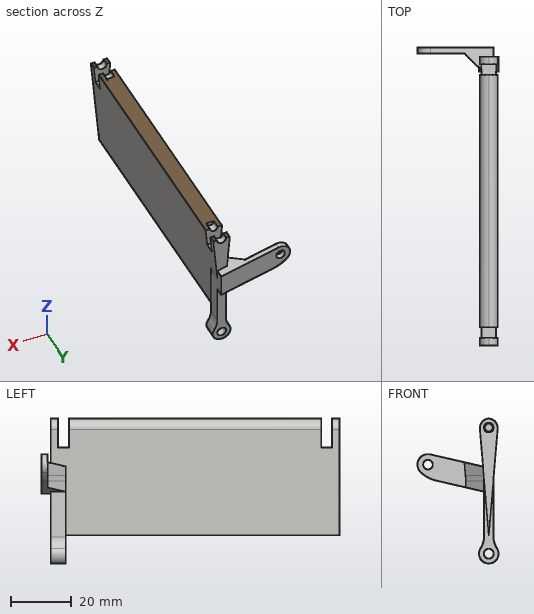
import cadquery as cq
import math


flap_length = 95.0
leading_edge_z = 3.0
nose_half_width = 2.96
nose_tangent_z = -0.55
trailing_edge_z = -35.5

lug_thickness = 2.5
slot_width = 3.5
slot_floor_z = -6.5

lug_hole_radius = 1.6
body_hole_radius = 1.3
body_hole_depth = 3.0

horn_width = 5.0
horn_front_y = flap_length - horn_width
stem_half_width = 1.6
eye_z = -41.5
eye_radius = 3.25
eye_hole_radius = 1.6
eye_fillet_radius = 7.0

arm_thickness = 2.0
arm_overhang = 3.0
arm_back_y = flap_length + arm_overhang
arm_front_y = arm_back_y - arm_thickness
arm_hole_x = -20.0
arm_hole_z = -12.2
arm_hole_radius = 1.55
arm_end_radius = 3.49
arm_slope = math.radians(13.0)
arm_lower_offset = 4.55
arm_blend_radius = 11.0
gusset_run = 6.0
gusset_blend_radius = 20.0


def cylinder(x, z, radius, y_start, y_end):
    """Make a cylinder along Y between two Y positions."""
    return cq.Workplane("XZ", origin=(x, y_start, z)).circle(radius).extrude(y_start - y_end)


def make_flap():
    """Tapered section; each flat side runs tangentially into an arc that reaches the leading edge."""
    half_section = (
        cq.Workplane("XZ")
        .moveTo(0, trailing_edge_z)
        .lineTo(nose_half_width, nose_tangent_z)
        .tangentArcPoint((0, leading_edge_z), relative=False)
        .close()
    )
    half_flap = half_section.extrude(-flap_length)
    return half_flap.union(half_flap.mirror("YZ"))


def cut_hinge(flap):
    """Cut the two lug slots and the pin holes on the hinge axis."""
    slot_reach = lug_thickness + slot_width
    slot_span = 4 * nose_half_width
    slot_height = leading_edge_z - slot_floor_z
    for slot_y in (lug_thickness, flap_length - slot_reach):
        slot = cq.Workplane("XY", origin=(0, slot_y, slot_floor_z)).box(
            slot_span, slot_width, slot_height, centered=(True, False, False)
        )
        flap = flap.cut(slot)
    for end_y, inward in ((0, 1), (flap_length, -1)):
        body_y = end_y + inward * slot_reach
        flap = flap.cut(cylinder(0, 0, lug_hole_radius, end_y, end_y + inward * lug_thickness))
        flap = flap.cut(cylinder(0, 0, body_hole_radius, body_y, body_y + inward * body_hole_depth))
    return flap


def make_horn():
    """Stem flaring into the eye through fillets tangent to both."""
    centre_distance = eye_radius + eye_fillet_radius
    fillet_x = stem_half_width + eye_fillet_radius
    fillet_rise = math.sqrt(centre_distance**2 - fillet_x**2)
    fillet_z = eye_z + fillet_rise
    meet_x = fillet_x * eye_radius / centre_distance
    meet_z = eye_z + fillet_rise * eye_radius / centre_distance
    half_angle = math.atan2(fillet_rise, fillet_x) / 2
    mid_x = fillet_x - eye_fillet_radius * math.cos(half_angle)
    mid_z = fillet_z - eye_fillet_radius * math.sin(half_angle)
    outline = (
        cq.Workplane("XZ", origin=(0, horn_front_y, 0))
        .moveTo(-stem_half_width, arm_hole_z)
        .lineTo(-stem_half_width, fillet_z)
        .threePointArc((-mid_x, mid_z), (-meet_x, meet_z))
        .threePointArc((0, eye_z - eye_radius), (meet_x, meet_z))
        .threePointArc((mid_x, mid_z), (stem_half_width, fillet_z))
        .lineTo(stem_half_width, arm_hole_z)
        .close()
    )
    horn = outline.extrude(-horn_width)
    return horn.cut(cylinder(0, eye_z, eye_hole_radius, horn_front_y, flap_length))


def make_gusset():
    """Sweep the left side of the flap and stem slantwise from the horn front to the arm plate."""
    side_slope = nose_half_width / (nose_tangent_z - trailing_edge_z)
    corner_z = trailing_edge_z + stem_half_width / side_slope
    side_angle = math.atan(side_slope)
    tangent_length = gusset_blend_radius * math.tan(side_angle / 2)
    blend_top_z = corner_z + tangent_length * math.cos(side_angle)
    blend_top_x = -stem_half_width - tangent_length * math.sin(side_angle)
    inner_x = stem_half_width + gusset_run
    profile = (
        cq.Workplane("XZ", origin=(0, horn_front_y, 0))
        .moveTo(inner_x, eye_z)
        .lineTo(-stem_half_width, eye_z)
        .lineTo(-stem_half_width, corner_z - tangent_length)
        .tangentArcPoint((blend_top_x, blend_top_z), relative=False)
        .lineTo(-nose_half_width, nose_tangent_z)
        .lineTo(inner_x, nose_tangent_z)
        .close()
    )
    sweep = cq.Vector(-gusset_run, arm_front_y - horn_front_y, 0)
    return cq.Workplane(cq.Solid.extrudeLinear(profile.val(), [], sweep))


def make_arm():
    """Arm outline seen along Y, limited in depth to the plate and its gusset."""

    def around_hole(radius, angle, centre=(arm_hole_x, arm_hole_z)):
        return (centre[0] + radius * math.cos(angle), centre[1] + radius * math.sin(angle))

    upper_angle = math.pi / 2 - arm_slope
    lower_angle = -math.pi / 2 - arm_slope
    centre_shift = arm_blend_radius - arm_end_radius
    blend_sweep = math.acos((arm_blend_radius - arm_lower_offset) / centre_shift)
    junction_angle = lower_angle - blend_sweep
    blend_centre = around_hole(-centre_shift, junction_angle)
    lower_tangent = around_hole(arm_blend_radius, lower_angle, blend_centre)
    upper_tangent = around_hole(arm_end_radius, upper_angle)

    def root_point(tangent):
        drop = (stem_half_width - tangent[0]) * math.tan(arm_slope)
        return (stem_half_width, tangent[1] - drop)

    outline = (
        cq.Workplane("XZ", origin=(0, horn_front_y, 0))
        .moveTo(*root_point(upper_tangent))
        .lineTo(*upper_tangent)
        .threePointArc(around_hole(arm_end_radius, math.pi), around_hole(arm_end_radius, junction_angle))
        .threePointArc(
            around_hole(arm_blend_radius, lower_angle - blend_sweep / 2, blend_centre), lower_tangent
        )
        .lineTo(*root_point(lower_tangent))
        .close()
    )
    arm = outline.extrude(horn_front_y - arm_back_y)
    arm_tip_x = arm_hole_x - arm_end_radius
    plate = cq.Workplane("XY", origin=(arm_tip_x, arm_front_y, eye_z)).box(
        stem_half_width - arm_tip_x, arm_thickness, -eye_z, centered=False
    )
    arm_hole = cylinder(arm_hole_x, arm_hole_z, arm_hole_radius, arm_front_y, arm_back_y)
    return arm.intersect(plate.union(make_gusset())).cut(arm_hole)


result = cut_hinge(make_flap()).union(make_horn()).union(make_arm())